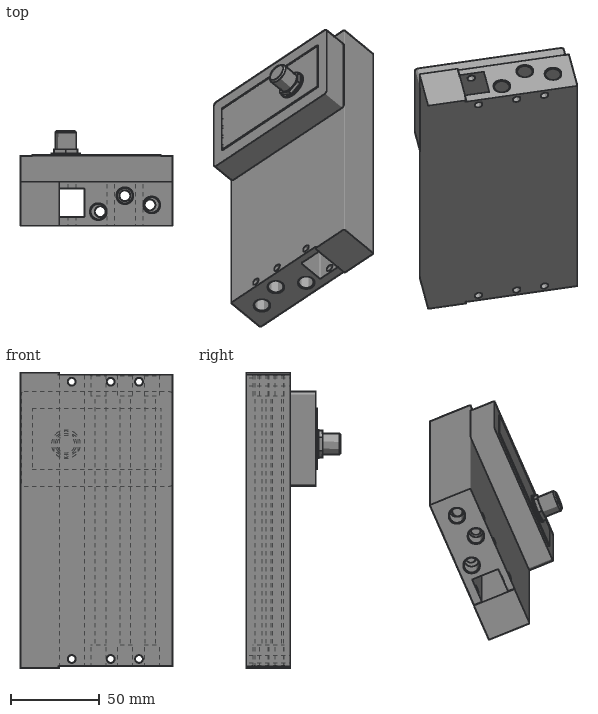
import cadquery as cq

width = 86.0
block_depth = 25.0
height = 167.0
end_step = 1.2
strip_width = 22.0
edge_radius = 0.5
port_section_height = height - 2 * end_step

channel_width = 14.2
channel_front = 5.0
channel_depth = 16.0
channel_radius = 0.6

mount_hole_diameter = 4.3
mount_hole_inset = 5.2
mount_hole_xs = (29.0, 51.0, 67.0)

port_diameter = 8.6
port_chamfer = 0.5
port_depth = 12.0
passage_diameter = 6.0
ports = (
    (44.0, 45.1, 8.0),
    (59.0, 59.0, 17.0),
    (74.2, 73.2, 11.8),
)

cover_depth = 14.5
cover_height = 53.6
cover_radius = 2.2
cover_center_z = height - 37.4
cover_back = block_depth + cover_depth

plate_width = 72.6
plate_height = 34.6
plate_thickness = 0.6
plate_back = cover_back + plate_thickness

total_depth = 53.6
connector_x = 25.6
connector_z = height - 40.3
washer_diameter = 16.2
washer_thickness = 1.0
nut_across_corners = 15.4
nut_thickness = 2.2
thread_diameter = 12.0
thread_chamfer = 1.0


def back_plane(y):
    """Sketch plane facing +Y at the given depth, with local X, Y = world -X, Z."""
    return cq.Workplane(cq.Plane(origin=(0, y, 0), xDir=(-1, 0, 0), normal=(0, 1, 0)))


def make_block():
    strip = cq.Workplane("XY").box(strip_width, block_depth, height, centered=False)
    strip = strip.edges("|Z").fillet(edge_radius)
    port_section = (
        cq.Workplane("XY", origin=(0, 0, end_step))
        .box(width, block_depth, port_section_height, centered=False)
        .edges("|Z")
        .fillet(edge_radius)
    )
    return port_section.union(strip)


def make_channel():
    return (
        cq.Workplane("XY", origin=(strip_width, channel_front, 0))
        .box(channel_width, channel_depth, height, centered=False)
        .edges("|Z and >X")
        .fillet(channel_radius)
    )


def make_mount_holes():
    rows = (mount_hole_inset, height - mount_hole_inset)
    centers = [(-x, z) for x in mount_hole_xs for z in rows]
    return back_plane(0).pushPoints(centers).circle(mount_hole_diameter / 2).extrude(block_depth)


def make_port(x, y, end_z, inward):
    """Chamfered port bore entering from end_z; inward is +1 for up, -1 for down."""
    radius = port_diameter / 2
    mouth = radius + port_chamfer
    profile = [
        (0, 0),
        (mouth, 0),
        (radius, inward * port_chamfer),
        (radius, inward * port_depth),
        (0, inward * port_depth),
    ]
    bore = cq.Workplane("XZ").polyline(profile).close().revolve(360, (0, 0, 0), (0, 1, 0))
    return bore.translate((x, y, end_z))


def make_passage(x, y):
    return cq.Workplane("XY").center(x, y).circle(passage_diameter / 2).extrude(height)


def make_cover():
    cover = (
        back_plane(block_depth)
        .center(-width / 2, cover_center_z)
        .rect(width, cover_height)
        .extrude(cover_depth)
        .edges("|Y")
        .fillet(cover_radius)
    )
    plate = (
        back_plane(cover_back)
        .center(-width / 2, cover_center_z)
        .rect(plate_width, plate_height)
        .extrude(plate_thickness)
    )
    return cover.union(plate)


def make_connector():
    axis = (-connector_x, connector_z)
    nut_front = plate_back + washer_thickness
    washer = back_plane(plate_back).center(*axis).circle(washer_diameter / 2).extrude(washer_thickness)
    nut = (
        back_plane(nut_front)
        .center(*axis)
        .transformed(rotate=(0, 0, 90))
        .polygon(6, nut_across_corners)
        .extrude(nut_thickness)
    )
    thread = (
        back_plane(plate_back)
        .center(*axis)
        .circle(thread_diameter / 2)
        .extrude(total_depth - plate_back)
        .faces(">Y")
        .chamfer(thread_chamfer)
    )
    return washer.union(nut).union(thread)


body = make_block().cut(make_channel()).cut(make_mount_holes())
for port_x, passage_x, port_y in ports:
    body = body.cut(make_port(port_x, port_y, end_step, 1))
    body = body.cut(make_port(port_x, port_y, height - end_step, -1))
    body = body.cut(make_passage(passage_x, port_y))

result = body.union(make_cover()).union(make_connector())